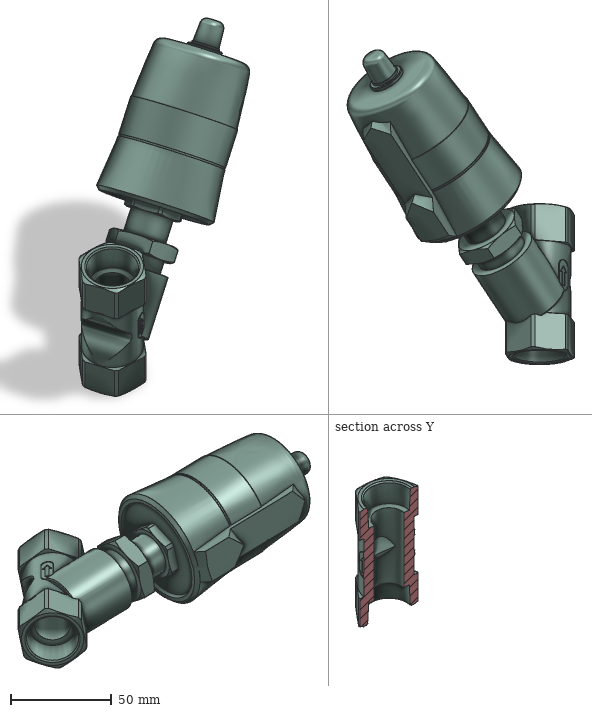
import cadquery as cq
import math


HEX_FLATS = 32.0
HEX_CORNER_DIA = 35.8
HEX_LENGTH = 19.0
PIPE_HALF_LENGTH = 37.5
END_FACE_DIA = 31.0
END_CHAMFER_HEIGHT = 0.9
NECK_RADIUS = 15.5
BORE_DIA = 18.0
NECK_HALF_LENGTH = PIPE_HALF_LENGTH - HEX_LENGTH

SOCKET_RIM_DIA = 27.5
SOCKET_MOUTH_DIA = 26.0
SOCKET_FLOOR_DIA = 24.6
SOCKET_RIM_DEPTH = 0.7
SOCKET_DEPTH = 13.5

WAIST_BEND_RADIUS = 19.0
WAIST_FLOOR_Y = -7.2
WAIST_FILLET = 4.8
CREST_Y = -5.0
CREST_HALF_HEIGHT = 6.6

PAD_WIDTH = 6.3
PAD_TOP = 10.0
PAD_BOTTOM = -6.0
PAD_FACE_X = 15.8
ARROW_DEPTH = 0.3
ARROW_TOP = 6.7
ARROW_NECK = 3.7
ARROW_BOTTOM = -3.2
ARROW_HEAD_HALF = 2.2
ARROW_SHAFT_HALF = 1.0

AXIS_ELEVATION = 40.0
AXIS_OFFSET = 10.5

SLEEVE_DIA = 34.5
SLEEVE_BOTTOM = -4.2
SLEEVE_TOP = 28.5
SLEEVE_CHAMFER = 0.6
COLLAR_DIA = 26.0
BONNET_NUT_FLATS = 32.2
BONNET_NUT_BOTTOM = 35.6
BONNET_NUT_TOP = 44.0
BONNET_NUT_CHAMFER_HEIGHT = 1.0
STEM_DIA = 22.0
LOCK_NUT_FLATS = 27.1
LOCK_NUT_CORNER_DIA = 30.2
LOCK_NUT_BOTTOM = 56.5
LOCK_NUT_TOP = 64.5
LOCK_NUT_CHAMFER_HEIGHT = 0.6

RIM_HEIGHT = 59.9
RIM_DIA = 57.7
SKIRT_HEIGHT = 61.8
SKIRT_DIA = 61.5
SKIRT_MID_RADIUS = 29.0
BAND_DIA = 56.0
BAND_BOTTOM = 89.0
BAND_TOP = 109.9
CAP_BASE_DIA = 55.4
CAP_EDGE_RADIUS = 25.2
CAP_MID_RADIUS = 26.7
CAP_FILLET = 4.7
HOUSING_TOP = 142.0
SEAM_WIDTH = 1.0
SEAM_DEPTH = 0.3
RECESS_RIM_DIA = 53.6
RECESS_FLOOR_DIA = 51.7
RECESS_DEPTH = 1.8

WASHER_DIA = 18.2
WASHER_CHAMFER = 0.5
WASHER_TOP = 143.9
BEAD_DIA = 14.4
BEAD_TOP = 145.0
PIN_BASE_DIA = 13.6
PIN_SHOULDER_DIA = 12.3
PIN_SHOULDER = 155.0
PIN_TIP_DIA = 5.9
PIN_TOP = 158.1
NOSE_BULGE = 0.6

RIB_HALF_WIDTH = 9.1
LONG_RIB_INNER = (23.0, (85.0, 137.0), (85.0, 133.5))
LONG_RIB_OUTER = (28.9, (85.0, 133.9), (85.0, 127.8))
SHORT_RIB_INNER = (25.0, (55.2, 92.0), (58.2, 90.7))
SHORT_RIB_OUTER = (34.0, (65.2, 89.2), (66.1, 81.3))


def cylinder(diameter, bottom, top):
    return cq.Workplane("XY").workplane(offset=bottom).circle(diameter / 2).extrude(top - bottom)


def revolve_profile(points):
    """Turn a closed (radius, height) outline around the Z axis."""
    return cq.Workplane("XZ").polyline(points).close().revolve(360, (0, 0), (0, 1))


def hexagon(flats, bottom, top):
    """Hexagonal bar with two corners on the X axis."""
    corners = flats / math.cos(math.pi / 6)
    return cq.Workplane("XY").workplane(offset=bottom).polygon(6, corners).extrude(top - bottom)


def chamfered_hexagon(flats, corner_dia, face_dia, bottom, top, chamfer_height):
    """Hexagonal bar whose corners are turned to a diameter and coned at both ends."""
    blank = revolve_profile([
        (0, bottom),
        (face_dia / 2, bottom),
        (corner_dia / 2, bottom + chamfer_height),
        (corner_dia / 2, top - chamfer_height),
        (face_dia / 2, top),
        (0, top),
    ])
    return hexagon(flats, bottom, top).intersect(blank)


def pipe_end():
    """Upper hexagonal end, chamfered only at its outer face."""
    buried = END_CHAMFER_HEIGHT
    bar = chamfered_hexagon(
        HEX_FLATS, HEX_CORNER_DIA, END_FACE_DIA,
        NECK_HALF_LENGTH - buried, PIPE_HALF_LENGTH, END_CHAMFER_HEIGHT,
    )
    return bar.cut(cylinder(2 * HEX_CORNER_DIA, NECK_HALF_LENGTH - buried, NECK_HALF_LENGTH))


def socket():
    """Tapered socket of the upper pipe end."""
    return revolve_profile([
        (0, PIPE_HALF_LENGTH),
        (SOCKET_RIM_DIA / 2, PIPE_HALF_LENGTH),
        (SOCKET_MOUTH_DIA / 2, PIPE_HALF_LENGTH - SOCKET_RIM_DEPTH),
        (SOCKET_FLOOR_DIA / 2, PIPE_HALF_LENGTH - SOCKET_DEPTH),
        (0, PIPE_HALF_LENGTH - SOCKET_DEPTH),
    ])


def both_ends(upper):
    return upper.union(upper.mirror("XY"))


def waist():
    """Space in front of the waisted wall: two bends joined by a concave fillet."""
    bend = WAIST_BEND_RADIUS
    fillet = WAIST_FILLET
    front = -NECK_RADIUS
    floor = WAIST_FLOOR_Y
    bend_y = front + bend
    fillet_y = floor - fillet
    reach = bend + fillet
    bend_z = math.sqrt(reach**2 - (bend_y - fillet_y) ** 2)
    join_y = fillet_y + (bend_y - fillet_y) * fillet / reach
    join_z = bend_z * fillet / reach
    half_sweep = math.atan2(bend_z - join_z, bend_y - join_y) / 2
    mid_y = bend_y - bend * math.cos(half_sweep)
    mid_z = bend_z - bend * math.sin(half_sweep)
    return (
        cq.Workplane("YZ")
        .moveTo(front, bend_z)
        .threePointArc((mid_y, mid_z), (join_y, join_z))
        .threePointArc((floor, 0), (join_y, -join_z))
        .threePointArc((mid_y, -mid_z), (front, -bend_z))
        .close()
        .extrude(2 * NECK_RADIUS, both=True)
    )


def bore_crest():
    """Wedge of wall behind the waist that rises into the bore."""
    return (
        cq.Workplane("YZ")
        .polyline([
            (CREST_Y, 0),
            (-BORE_DIA / 2, CREST_HALF_HEIGHT),
            (-BORE_DIA / 2, -CREST_HALF_HEIGHT),
        ])
        .close()
        .extrude(BORE_DIA, both=True)
    )


def direction_pads():
    """Rounded pads across the neck sides, each with an engraved upward arrow."""
    pads = (
        cq.Workplane("YZ")
        .center(0, (PAD_TOP + PAD_BOTTOM) / 2)
        .slot2D(PAD_TOP - PAD_BOTTOM, PAD_WIDTH, 90)
        .extrude(PAD_FACE_X, both=True)
    )
    arrow = (
        cq.Workplane("YZ")
        .workplane(offset=PAD_FACE_X - ARROW_DEPTH)
        .polyline([
            (0, ARROW_TOP),
            (ARROW_HEAD_HALF, ARROW_NECK),
            (ARROW_SHAFT_HALF, ARROW_NECK),
            (ARROW_SHAFT_HALF, ARROW_BOTTOM),
            (-ARROW_SHAFT_HALF, ARROW_BOTTOM),
            (-ARROW_SHAFT_HALF, ARROW_NECK),
            (-ARROW_HEAD_HALF, ARROW_NECK),
        ])
        .close()
        .extrude(ARROW_DEPTH)
    )
    return pads.cut(arrow).cut(arrow.mirror("YZ"))


def bonnet():
    """Sleeve, collar, nuts and stem that carry the actuator."""
    body = cylinder(SLEEVE_DIA, SLEEVE_BOTTOM, SLEEVE_TOP).faces("<Z").chamfer(SLEEVE_CHAMFER)
    body = body.union(cylinder(COLLAR_DIA, SLEEVE_TOP, BONNET_NUT_BOTTOM))
    nut = chamfered_hexagon(
        BONNET_NUT_FLATS, BONNET_NUT_FLATS / math.cos(math.pi / 6), BONNET_NUT_FLATS,
        BONNET_NUT_BOTTOM, BONNET_NUT_TOP, BONNET_NUT_CHAMFER_HEIGHT,
    )
    lock_nut = chamfered_hexagon(
        LOCK_NUT_FLATS, LOCK_NUT_CORNER_DIA, LOCK_NUT_FLATS,
        LOCK_NUT_BOTTOM, LOCK_NUT_TOP, LOCK_NUT_CHAMFER_HEIGHT,
    )
    stem = cylinder(STEM_DIA, BONNET_NUT_TOP, SKIRT_HEIGHT)
    return body.union(nut).union(stem).union(lock_nut)


def housing_body():
    """Flared skirt, straight band and tapered cap with a rounded top edge."""
    skirt_mid_height = (SKIRT_HEIGHT + BAND_BOTTOM) / 2
    cap_edge_height = HOUSING_TOP - CAP_FILLET
    cap_mid_height = (BAND_TOP + cap_edge_height) / 2
    flat_radius = CAP_EDGE_RADIUS - CAP_FILLET
    diagonal = CAP_FILLET * math.sqrt(0.5)
    body = (
        cq.Workplane("XZ")
        .moveTo(0, RIM_HEIGHT)
        .lineTo(RIM_DIA / 2, RIM_HEIGHT)
        .lineTo(SKIRT_DIA / 2, SKIRT_HEIGHT)
        .threePointArc((SKIRT_MID_RADIUS, skirt_mid_height), (BAND_DIA / 2, BAND_BOTTOM))
        .lineTo(BAND_DIA / 2, BAND_TOP)
        .lineTo(CAP_BASE_DIA / 2, BAND_TOP)
        .threePointArc((CAP_MID_RADIUS, cap_mid_height), (CAP_EDGE_RADIUS, cap_edge_height))
        .threePointArc(
            (flat_radius + diagonal, cap_edge_height + diagonal),
            (flat_radius, HOUSING_TOP),
        )
        .lineTo(0, HOUSING_TOP)
        .close()
        .revolve(360, (0, 0), (0, 1))
    )
    for seam in (BAND_BOTTOM, BAND_TOP):
        ring = cylinder(SKIRT_DIA, seam - SEAM_WIDTH / 2, seam + SEAM_WIDTH / 2)
        core = cylinder(BAND_DIA - 2 * SEAM_DEPTH, seam - SEAM_WIDTH / 2, seam + SEAM_WIDTH / 2)
        body = body.cut(ring.cut(core))
    return body


def rib(inner, outer):
    """Pointed rib lofted between two outlines, each (distance, tips, shoulders).

    Distance is measured from the actuator axis; tips and shoulders are the
    (lower, upper) heights of the pointed ends and of the side faces.
    """
    loft = cq.Workplane("XZ")
    reached = 0
    for distance, tips, shoulders in (inner, outer):
        loft = loft.workplane(offset=reached - distance).polyline([
            (0, tips[0]),
            (RIB_HALF_WIDTH, shoulders[0]),
            (RIB_HALF_WIDTH, shoulders[1]),
            (0, tips[1]),
            (-RIB_HALF_WIDTH, shoulders[1]),
            (-RIB_HALF_WIDTH, shoulders[0]),
        ]).close()
        reached = distance
    return loft.loft(ruled=True)


def housing():
    body = housing_body()
    body = body.union(rib(LONG_RIB_INNER, LONG_RIB_OUTER))
    body = body.union(rib(SHORT_RIB_INNER, SHORT_RIB_OUTER))
    body = body.cut(cylinder(2 * SKIRT_DIA, 0, RIM_HEIGHT))
    recess = revolve_profile([
        (0, RIM_HEIGHT),
        (RECESS_RIM_DIA / 2, RIM_HEIGHT),
        (RECESS_FLOOR_DIA / 2, RIM_HEIGHT + RECESS_DEPTH),
        (0, RIM_HEIGHT + RECESS_DEPTH),
    ])
    return body.cut(recess)


def indicator():
    """Washer, bead and round-nosed pin on top of the cap."""
    washer = cylinder(WASHER_DIA, HOUSING_TOP, WASHER_TOP).faces(">Z").chamfer(WASHER_CHAMFER)
    bead = cylinder(BEAD_DIA, WASHER_TOP, BEAD_TOP)
    nose_mid_radius = (PIN_SHOULDER_DIA + PIN_TIP_DIA) / 4 + NOSE_BULGE
    nose_mid_height = (PIN_SHOULDER + PIN_TOP) / 2 + NOSE_BULGE
    pin = (
        cq.Workplane("XZ")
        .moveTo(0, BEAD_TOP)
        .lineTo(PIN_BASE_DIA / 2, BEAD_TOP)
        .lineTo(PIN_SHOULDER_DIA / 2, PIN_SHOULDER)
        .threePointArc((nose_mid_radius, nose_mid_height), (PIN_TIP_DIA / 2, PIN_TOP))
        .lineTo(0, PIN_TOP)
        .close()
        .revolve(360, (0, 0), (0, 1))
    )
    return washer.union(bead).union(pin)


def tilt(upright):
    """Lean an upright part back toward +Y and set it on the actuator axis."""
    return (
        upright.translate((0, AXIS_OFFSET, 0))
        .rotate((0, 0, 0), (1, 0, 0), AXIS_ELEVATION - 90)
    )


neck = cylinder(2 * NECK_RADIUS, -NECK_HALF_LENGTH, NECK_HALF_LENGTH)
neck = neck.union(direction_pads()).cut(waist())
pipe = neck.union(both_ends(pipe_end()))

actuator = tilt(bonnet().union(housing()).union(indicator()))

bore = cylinder(BORE_DIA, -PIPE_HALF_LENGTH, PIPE_HALF_LENGTH).cut(bore_crest())
result = pipe.union(actuator).cut(bore).cut(both_ends(socket()))